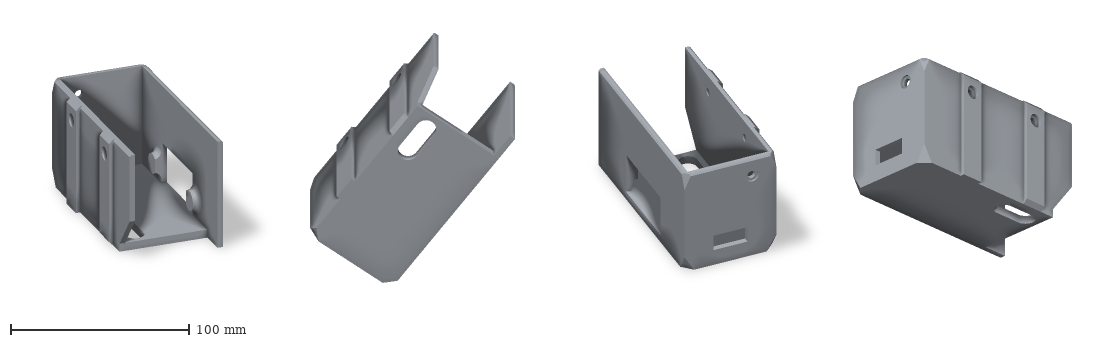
import cadquery as cq

LENGTH = 117.5
WIDTH = 56.5
HEIGHT = 65.0
WALL = 3.4
FLOOR = 4.9
FLOOR_LENGTH = 102.2
RIM_CHAMFER = 1.0

TOP_CORNER_LEG = 4.2
TOP_CORNER_HEIGHT = 9.5
BOTTOM_CORNER_LEG = 6.0
BOTTOM_CORNER_HEIGHT = 9.9

RIB_WIDTH = 14.1
RIB_DEPTH = 2.6
FIRST_RIB_CENTER = 36.0
SECOND_RIB_CENTER = 85.9

SCREW_HEIGHT = 53.9
SCREW_DIAMETER = 4.7
SCREW_HEAD_DIAMETER = 8.0
RIB_HEAD_DEPTH = 2.1
END_HEAD_DEPTH = 1.0
END_SCREW_Y = 14.9

END_WINDOW_Y = 17.7
END_WINDOW_Z = 10.0
END_WINDOW_WIDTH = 20.9
END_WINDOW_HEIGHT = 9.8

BACK_WINDOW_CENTER = 56.4
BACK_WINDOW_WIDTH = 47.4
BACK_WINDOW_HEIGHT = 25.3
BOSS_SPACING = 55.9
BOSS_RADIUS = 6.0
BOSS_HEIGHT = 4.0
BOSS_CENTER_Z = 16.1

SLOT_LENGTH = 28.5
SLOT_WIDTH = 11.5
SLOT_CENTER = (84.5, 12.6)

NOTCH_TOP = 24.5


def box(x, y, z, length, width, height):
    """Block with its lowest corner at (x, y, z)."""
    return cq.Workplane("XY").box(length, width, height, centered=False).translate((x, y, z))


def corner_cut(y, z, leg_y, leg_z):
    """Tetrahedron on the end-wall corner at (0, y, z); signed legs point into the part."""
    leg_x = abs(leg_y)
    corners = [
        cq.Vector(0, y, z),
        cq.Vector(leg_x, y, z),
        cq.Vector(0, y + leg_y, z),
        cq.Vector(0, y, z + leg_z),
    ]
    faces = []
    for skipped in range(len(corners)):
        triangle = [point for index, point in enumerate(corners) if index != skipped]
        faces.append(cq.Face.makeFromWires(cq.Wire.makePolygon(triangle, close=True)))
    return cq.Workplane(cq.Solid.makeSolid(cq.Shell.makeShell(faces)))


def tray():
    """Floor, end wall and two side walls, chamfered around the outer rim."""
    body = box(0, 0, 0, LENGTH, WIDTH, HEIGHT)
    body = body.faces(">Z").edges("<X or <Y or >Y").chamfer(RIM_CHAMFER)
    body = body.cut(box(WALL, WALL, FLOOR, LENGTH, WIDTH - 2 * WALL, HEIGHT))
    body = body.cut(box(FLOOR_LENGTH, WALL, 0, LENGTH, WIDTH - 2 * WALL, HEIGHT))
    for y, inward in ((0, 1), (WIDTH, -1)):
        body = body.cut(corner_cut(y, HEIGHT, inward * TOP_CORNER_LEG, -TOP_CORNER_HEIGHT))
        body = body.cut(corner_cut(y, 0, inward * BOTTOM_CORNER_LEG, BOTTOM_CORNER_HEIGHT))
    return body


def rib(center_x, foot_bevel):
    """Vertical rib on the front wall, beveled at the top and by foot_bevel at the bottom."""
    profile = [
        (WALL / 2, 0),
        (0, 0),
        (-RIB_DEPTH, foot_bevel),
        (-RIB_DEPTH, HEIGHT - RIB_DEPTH),
        (0, HEIGHT),
        (WALL / 2, HEIGHT),
    ]
    start = cq.Workplane("YZ", origin=(center_x - RIB_WIDTH / 2, 0, 0))
    return start.polyline(profile).close().extrude(RIB_WIDTH)


def screw_cut(plane, origin, head_depth, depth):
    """Counterbored hole cutter sunk against the normal of plane; negative depths follow it."""
    face = cq.Workplane(plane, origin=origin)
    head = face.circle(SCREW_HEAD_DIAMETER / 2).extrude(-head_depth)
    return face.circle(SCREW_DIAMETER / 2).extrude(-depth).union(head)


def boss(center_x):
    """Round boss on the inside of the back wall, with a quarter-round flare over its full height."""
    base = WIDTH - WALL
    profile = (
        cq.Workplane("XY")
        .moveTo(0, base - BOSS_HEIGHT)
        .lineTo(BOSS_RADIUS, base - BOSS_HEIGHT)
        .radiusArc((BOSS_RADIUS + BOSS_HEIGHT, base), BOSS_HEIGHT)
        .lineTo(BOSS_RADIUS + BOSS_HEIGHT, base + WALL / 2)
        .lineTo(0, base + WALL / 2)
        .close()
    )
    return profile.revolve(360, (0, 0, 0), (0, 1, 0)).translate((center_x, 0, BOSS_CENTER_Z))


def notch():
    """Cutter for the lower open end of the front wall."""
    outline = [
        (FLOOR_LENGTH, 0),
        (FLOOR_LENGTH, FLOOR),
        (LENGTH, NOTCH_TOP),
        (LENGTH, 0),
    ]
    return cq.Workplane("XZ").polyline(outline).close().extrude(-WALL)


result = tray().cut(notch())

for rib_center, foot in ((FIRST_RIB_CENTER, 0), (SECOND_RIB_CENTER, RIB_DEPTH)):
    result = result.union(rib(rib_center, foot))
    rib_face = (rib_center, -RIB_DEPTH, SCREW_HEIGHT)
    result = result.cut(screw_cut("XZ", rib_face, RIB_HEAD_DEPTH, RIB_DEPTH + WALL))

end_screw = screw_cut("YZ", (0, END_SCREW_Y, SCREW_HEIGHT), -END_HEAD_DEPTH, -WALL)
end_window = box(0, END_WINDOW_Y, END_WINDOW_Z, WALL, END_WINDOW_WIDTH, END_WINDOW_HEIGHT)
result = result.cut(end_screw).cut(end_window)

for side in (-1, 1):
    result = result.union(boss(BACK_WINDOW_CENTER + side * BOSS_SPACING / 2))
window_left = BACK_WINDOW_CENTER - BACK_WINDOW_WIDTH / 2
window_front = WIDTH - WALL - BOSS_HEIGHT
back_window = box(
    window_left, window_front, FLOOR, BACK_WINDOW_WIDTH, WALL + BOSS_HEIGHT, BACK_WINDOW_HEIGHT
)
result = result.cut(back_window)

slot = cq.Workplane("XY").center(*SLOT_CENTER).slot2D(SLOT_LENGTH, SLOT_WIDTH).extrude(FLOOR)
result = result.cut(slot)